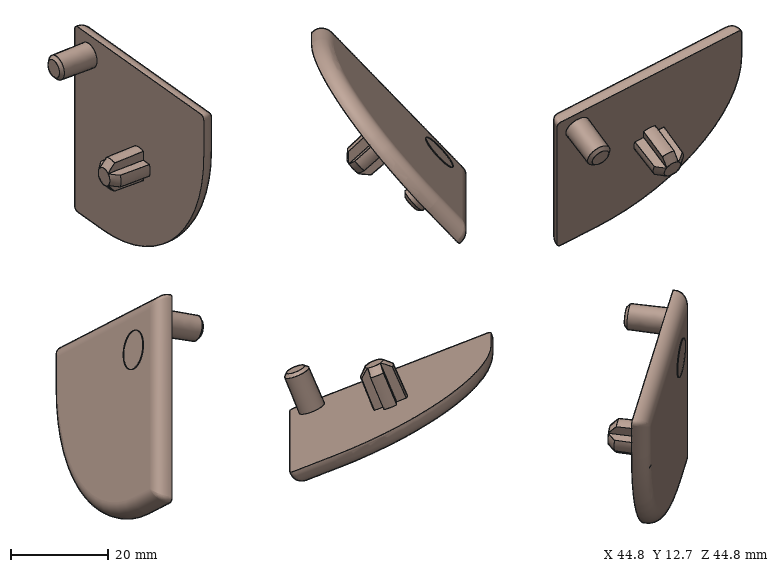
import cadquery as cq
import math

side = 44.8
sweep_radius = 35.0
corner_radius = 1.0
plate_thickness = 3.5
rim_height = 0.5
edge_radius = plate_thickness - rim_height

pad_inset = 10.0
pad_radius = 4.1
pad_height = 0.2

peg_length = 9.0

round_peg_inset = 4.95
round_peg_base_radius = 2.8
round_peg_end_radius = 2.75
round_peg_chamfer = 0.7

cross_base_radius = 3.8
cross_end_radius = 3.67
cross_chamfer = 1.65
cross_arm_width = 2.8


def make_plate():
    """Plate with small corner rounds and a rounded back edge above a thin straight rim."""
    arc_x = side - sweep_radius
    arc_z = sweep_radius
    diagonal = sweep_radius * math.sqrt(0.5)
    plate = (
        cq.Workplane("XZ")
        .moveTo(0, 0)
        .lineTo(0, side)
        .lineTo(side, side)
        .lineTo(side, arc_z)
        .threePointArc((arc_x + diagonal, arc_z - diagonal), (arc_x, 0))
        .close()
        .extrude(-plate_thickness)
    )
    plate = plate.faces(">Y").edges().fillet(edge_radius)
    for corner_x, corner_z in ((0, 0), (0, side), (side, side)):
        low = (corner_x - edge_radius, -edge_radius, corner_z - edge_radius)
        high = (corner_x + edge_radius, edge_radius, corner_z + edge_radius)
        plate = plate.edges(cq.selectors.BoxSelector(low, high)).fillet(corner_radius)
    return plate


def make_peg(x, z, base_radius, end_radius, chamfer):
    """Tapered round peg with a 45 degree chamfered end, pointing toward -Y."""
    return (
        cq.Workplane("XY")
        .moveTo(0, 0)
        .lineTo(base_radius, 0)
        .lineTo(end_radius, chamfer - peg_length)
        .lineTo(end_radius - chamfer, -peg_length)
        .lineTo(0, -peg_length)
        .close()
        .revolve(360, (0, 0, 0), (0, 1, 0))
        .translate((x, 0, z))
    )


def make_cross_peg():
    """Tapered peg trimmed to four arms."""
    middle = side / 2
    span = 2 * cross_base_radius
    arms = (
        cq.Workplane("XZ", origin=(middle, 0, middle))
        .rect(span, cross_arm_width)
        .extrude(peg_length)
        .union(
            cq.Workplane("XZ", origin=(middle, 0, middle))
            .rect(cross_arm_width, span)
            .extrude(peg_length)
        )
    )
    return make_peg(middle, middle, cross_base_radius, cross_end_radius, cross_chamfer).intersect(arms)


def make_pad():
    """Thin disc rising from the back face."""
    return (
        cq.Workplane("XZ", origin=(pad_inset, plate_thickness, side - pad_inset))
        .circle(pad_radius)
        .extrude(-pad_height)
    )


round_peg = make_peg(
    round_peg_inset,
    side - round_peg_inset,
    round_peg_base_radius,
    round_peg_end_radius,
    round_peg_chamfer,
)
result = make_plate().union(make_pad()).union(round_peg).union(make_cross_peg())